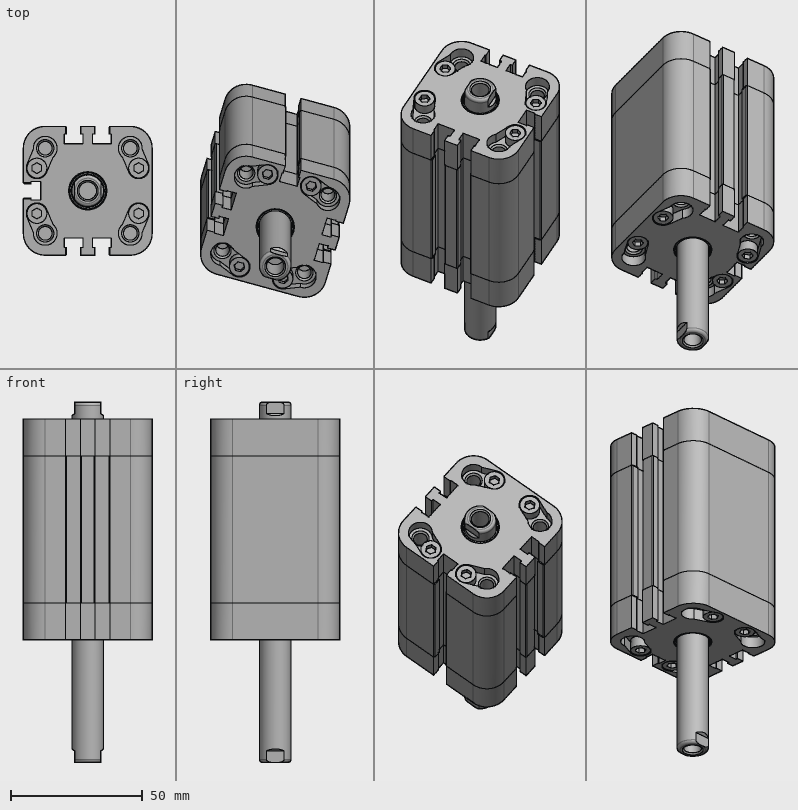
import cadquery as cq
import math

ROD_LENGTH = 137.0
ROD_STICK_OUT_TOP = 6.5
CAP_THICKNESS = 14.0
BARREL_LENGTH = 56.0
BARREL_TOP = BARREL_LENGTH / 2
CAP_TOP = BARREL_TOP + CAP_THICKNESS
ROD_TOP = CAP_TOP + ROD_STICK_OUT_TOP

SIDE = 49.0
HALF_SIDE = SIDE / 2
CORNER_RADIUS = 8.4

SLOT_DEPTH = 6.6
SLOT_WIDTH = 7.0
LIP_DEPTH = 3.0
SLOT_OFFSET = 5.3
RIB_HEAD_HALF_WIDTH = 2.7
CAP_PAIR_MOUTH = 5.8
CAP_SINGLE_MOUTH = 6.2
BARREL_MOUTH = 5.3
BARREL_LIP_CHAMFER = 0.4

ROD_DIAMETER = 12.0
ROD_END_FILLET = 1.2
ACROSS_FLATS = 10.0
FLAT_LENGTH = 4.4
FLAT_RUN_OUT = 0.8
ROD_THREAD_DIAMETER = 6.7
ROD_THREAD_MOUTH = 8.0
ROD_THREAD_DEPTH = 12.0

CAP_BORE_DIAMETER = 12.6
CAP_RECESS_DIAMETER = 14.0
CAP_RECESS_MOUTH = 14.5
CAP_RECESS_DEPTH = 1.1
ROD_LIP_DIAMETER = 13.7
ROD_LIP_HEIGHT = 0.7

MOUNT_POSITION = 16.2
SCREW_X = 19.3
SCREW_Y = 8.6
SCREW_SLOT_WIDTH = 8.1
MOUNT_SEAT_DIAMETER = 9.0
POCKET_DEPTH = 4.5
MOUNT_HOLE_DIAMETER = 5.2
MOUNT_HOLE_MOUTH = 6.6
HEAD_DIAMETER = 7.5
HEAD_HEIGHT = 4.2
HEX_ACROSS_FLATS = 3.5
HEX_DEPTH = 2.0


def square_prism(length):
    """Round-cornered square bar standing on Z = 0."""
    return cq.Workplane("XY").rect(SIDE, SIDE).extrude(length).edges("|Z").fillet(CORNER_RADIUS)


def t_slot(length, mouth, mouth_shift, chamfer):
    """T-slot cutter for the +Y face, its wide part centred on X = 0 and its mouth shifted along X."""
    floor = HALF_SIDE - SLOT_DEPTH
    lip = HALF_SIDE - LIP_DEPTH
    wide = SLOT_WIDTH / 2
    left = mouth_shift - mouth / 2
    right = mouth_shift + mouth / 2
    outline = [
        (-wide, floor),
        (wide, floor),
        (wide, lip),
        (right, lip),
        (right, HALF_SIDE),
        (left, HALF_SIDE),
        (left, lip),
        (-wide, lip),
    ]
    slot = cq.Workplane("XY").polyline(outline).close().extrude(length)
    if chamfer == 0:
        return slot
    flare = [
        (left, HALF_SIDE - chamfer),
        (right, HALF_SIDE - chamfer),
        (right + chamfer, HALF_SIDE),
        (left - chamfer, HALF_SIDE),
    ]
    return slot.union(cq.Workplane("XY").polyline(flare).close().extrude(length))


def slotted_bar(length, pair_mouth, single_mouth, lip_chamfer):
    """Square bar with two T-slots in each Y face and one in the -X face."""
    pair_shift = RIB_HEAD_HALF_WIDTH + pair_mouth / 2 - SLOT_OFFSET
    right_slot = t_slot(length, pair_mouth, pair_shift, lip_chamfer).translate((SLOT_OFFSET, 0, 0))
    left_slot = right_slot.mirror("YZ")
    single_slot = t_slot(length, single_mouth, 0, lip_chamfer).rotate((0, 0, 0), (0, 0, 1), 90)
    bar = square_prism(length).cut(single_slot)
    for slot in (right_slot, left_slot):
        bar = bar.cut(slot).cut(slot.mirror("XZ"))
    return bar


def chamfered_hole(diameter, mouth, depth):
    """Hole cutter going down from Z = 0, with a 45 degree chamfer out to the mouth diameter."""
    radius = diameter / 2
    mouth_radius = mouth / 2
    profile = [
        (0, 0),
        (mouth_radius, 0),
        (radius, radius - mouth_radius),
        (radius, -depth),
        (0, -depth),
    ]
    return cq.Workplane("XZ").polyline(profile).close().revolve(360, (0, 0, 0), (0, 1, 0))


def corner_cut():
    """Cutter for the +X +Y corner, going down from Z = 0: round seat, screw slot and mounting hole."""
    dx = SCREW_X - MOUNT_POSITION
    dy = SCREW_Y - MOUNT_POSITION
    slot_length = math.hypot(dx, dy) + SCREW_SLOT_WIDTH
    slot = cq.Workplane("XY").slot2D(slot_length, SCREW_SLOT_WIDTH).extrude(-POCKET_DEPTH)
    slot = slot.rotate((0, 0, 0), (0, 0, 1), math.degrees(math.atan2(dy, dx)))
    slot = slot.translate((MOUNT_POSITION + dx / 2, MOUNT_POSITION + dy / 2, 0))
    seat = cq.Workplane("XY").circle(MOUNT_SEAT_DIAMETER / 2).extrude(-POCKET_DEPTH)
    hole = chamfered_hole(MOUNT_HOLE_DIAMETER, MOUNT_HOLE_MOUTH, CAP_THICKNESS - POCKET_DEPTH)
    seat_and_hole = seat.union(hole.translate((0, 0, -POCKET_DEPTH)))
    return slot.union(seat_and_hole.translate((MOUNT_POSITION, MOUNT_POSITION, 0)))


def screw_head():
    """Hex socket screw head standing on Z = 0, formed in one piece with its cap."""
    hex_across_corners = HEX_ACROSS_FLATS / math.cos(math.pi / 6)
    head = cq.Workplane("XY").circle(HEAD_DIAMETER / 2).extrude(HEAD_HEIGHT)
    socket = cq.Workplane("XY").polygon(6, hex_across_corners).extrude(HEX_DEPTH)
    socket = socket.rotate((0, 0, 0), (0, 0, 1), 90)
    return head.cut(socket.translate((0, 0, HEAD_HEIGHT - HEX_DEPTH)))


def make_barrel():
    barrel = slotted_bar(BARREL_LENGTH, BARREL_MOUTH, BARREL_MOUTH, BARREL_LIP_CHAMFER)
    barrel = barrel.faces(">Z").workplane().hole(ROD_DIAMETER)
    return barrel.translate((0, 0, -BARREL_TOP))


def make_top_cap():
    cap = slotted_bar(CAP_THICKNESS, CAP_PAIR_MOUTH, CAP_SINGLE_MOUTH, lip_chamfer=0)
    cap = cap.translate((0, 0, -CAP_THICKNESS))
    recess = chamfered_hole(CAP_RECESS_DIAMETER, CAP_RECESS_MOUTH, CAP_RECESS_DEPTH)
    lip = cq.Workplane("XY").circle(ROD_LIP_DIAMETER / 2).extrude(ROD_LIP_HEIGHT)
    recess = recess.cut(lip.translate((0, 0, -CAP_RECESS_DEPTH)))
    bore = cq.Workplane("XY").circle(CAP_BORE_DIAMETER / 2).extrude(-CAP_THICKNESS)
    cap = cap.cut(recess).cut(bore)
    for side_x in (1, -1):
        for side_y in (1, -1):
            cut = corner_cut()
            if side_x < 0:
                cut = cut.mirror("YZ")
            if side_y < 0:
                cut = cut.mirror("XZ")
            cap = cap.cut(cut)
            cap = cap.union(screw_head().translate((side_x * SCREW_X, side_y * SCREW_Y, -POCKET_DEPTH)))
    return cap.translate((0, 0, CAP_TOP))


def rod_end_cut():
    """Cutter for one rod end at Z = 0, facing +Z: thread hole and two wrench flats with sloped run-outs."""
    radius = ROD_DIAMETER / 2
    flat = ACROSS_FLATS / 2
    profile = [
        (flat, 0),
        (radius, 0),
        (radius, -FLAT_LENGTH - FLAT_RUN_OUT),
        (flat, -FLAT_LENGTH),
    ]
    side = cq.Workplane("XZ").polyline(profile).close().extrude(radius, both=True)
    thread = chamfered_hole(ROD_THREAD_DIAMETER, ROD_THREAD_MOUTH, ROD_THREAD_DEPTH)
    return thread.union(side).union(side.mirror("YZ"))


def make_rod():
    rod = cq.Workplane("XY").circle(ROD_DIAMETER / 2).extrude(-ROD_LENGTH)
    rod = rod.edges("%CIRCLE").fillet(ROD_END_FILLET)
    end_cut = rod_end_cut()
    rod = rod.cut(end_cut).cut(end_cut.mirror("XY").translate((0, 0, -ROD_LENGTH)))
    return rod.translate((0, 0, ROD_TOP))


barrel = make_barrel()
top_cap = make_top_cap()
bottom_cap = top_cap.mirror("XY")
rod = make_rod()

result = cq.Compound.makeCompound([barrel.val(), top_cap.val(), bottom_cap.val(), rod.val()])